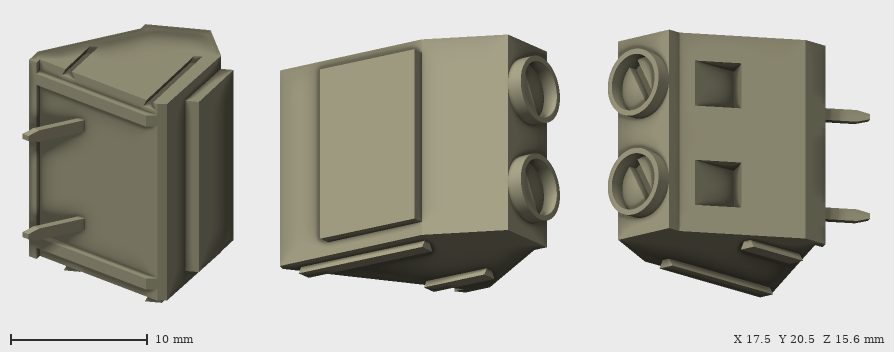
import cadquery as cq
import math


POLES = 2
POLE_PITCH = 7.51
BODY_HEIGHT = POLES * POLE_PITCH
POLE_HEIGHTS = [(i + 0.5) * POLE_PITCH for i in range(POLES)]

LEAN = math.radians(55)
LEAN_COS = math.cos(LEAN)
LEAN_SIN = math.sin(LEAN)

ENTRY_WALL_START = 1.76
ENTRY_WALL_END = 11.22
NECK_LENGTH = 1.13
SCREW_FACE_LENGTH = 5.0
SHOULDER_X = 8.97
SHOULDER_Y = 11.75
FAR_CORNER_X = 16.15
FAR_CORNER_Y = 1.25

COLLAR_DIAMETER = 5.0
COLLAR_BORE = 4.2
COLLAR_HEIGHT = 1.15
SCREW_SLOT_WIDTH = 0.88
SCREW_SLOT_DEPTH = 0.74
SCREW_SLOT_ANGLE = 61

ENTRY_TOP_Y = 10.08
ENTRY_BOTTOM_Y = 6.57
ENTRY_HEIGHT = 3.4

CHANNEL_DEPTH = 0.68
CHANNEL_START_X = 2.11
RAIL_WIDTH = 0.85
RAIL_INSET = 0.86

PIN_X = 6.73
PIN_WIDTH = 0.7
PIN_THICKNESS = 0.88
PIN_LENGTH = 4.55
PIN_TIP_LENGTH = 1.0
PIN_TIP_THICKNESS = 0.4

DOVETAIL_STARTS = [(1.52, 5.79), (8.05, 10.38)]
DOVETAIL_NECK = 0.64
DOVETAIL_BASE = 1.3
DOVETAIL_DEPTH = 0.57
TONGUE_END_Y = 1.37

PLATE_LENGTH = 8.4
PLATE_THICKNESS = 0.95
PLATE_SIDE_INSET = 1.0

OVERLAP = 0.2


def prism(points, bottom, top):
    """Upright prism with the given XY outline."""
    return cq.Workplane("XY", origin=(0, 0, bottom)).polyline(points).close().extrude(top - bottom)


screw_face_start = (-NECK_LENGTH * LEAN_COS, ENTRY_WALL_END + NECK_LENGTH * LEAN_SIN)
screw_face_end = (
    screw_face_start[0] + SCREW_FACE_LENGTH * LEAN_SIN,
    screw_face_start[1] + SCREW_FACE_LENGTH * LEAN_COS,
)


def make_body():
    outline = [
        (0, ENTRY_WALL_START),
        (0, ENTRY_WALL_END),
        screw_face_start,
        screw_face_end,
        (SHOULDER_X, SHOULDER_Y),
        (FAR_CORNER_X, FAR_CORNER_Y),
        (FAR_CORNER_X - FAR_CORNER_Y / math.tan(LEAN), 0),
        (ENTRY_WALL_START / math.tan(LEAN), 0),
    ]
    return prism(outline, 0, BODY_HEIGHT)


def make_plate():
    """Plate lying against the sloping back, just below the shoulder."""
    corners = []
    for distance, offset in [
        (0, -OVERLAP),
        (0, PLATE_THICKNESS),
        (PLATE_LENGTH, PLATE_THICKNESS),
        (PLATE_LENGTH, -OVERLAP),
    ]:
        x = SHOULDER_X + distance * LEAN_COS + offset * LEAN_SIN
        y = SHOULDER_Y - distance * LEAN_SIN + offset * LEAN_COS
        corners.append((x, y))
    return prism(corners, PLATE_SIDE_INSET, BODY_HEIGHT - PLATE_SIDE_INSET)


def screw_plane(height):
    """Plane on the screw face: local X along the face (towards -X), local Y up, normal outward."""
    centre_x = (screw_face_start[0] + screw_face_end[0]) / 2
    centre_y = (screw_face_start[1] + screw_face_end[1]) / 2
    return cq.Plane(
        origin=(centre_x, centre_y, height),
        xDir=(-LEAN_SIN, -LEAN_COS, 0),
        normal=(-LEAN_COS, LEAN_SIN, 0),
    )


def make_collar(height):
    return (
        cq.Workplane(screw_plane(height))
        .circle(COLLAR_DIAMETER / 2)
        .circle(COLLAR_BORE / 2)
        .extrude(COLLAR_HEIGHT)
    )


def make_screw_slot(height):
    """Driver slot across the screw head, ending at the collar bore."""
    plane = screw_plane(height)
    head = cq.Workplane(plane).circle(COLLAR_BORE / 2).extrude(-SCREW_SLOT_DEPTH)
    bar = (
        cq.Workplane(plane)
        .transformed(rotate=(0, 0, -SCREW_SLOT_ANGLE))
        .rect(2 * COLLAR_BORE, SCREW_SLOT_WIDTH)
        .extrude(-SCREW_SLOT_DEPTH)
    )
    return head.intersect(bar)


def make_wire_entry(height):
    """Wedge-shaped recess whose sloping floor deepens towards the mounting face."""
    depth = (ENTRY_TOP_Y - ENTRY_BOTTOM_Y) / math.tan(LEAN)
    outline = [(0, ENTRY_TOP_Y), (depth, ENTRY_BOTTOM_Y), (0, ENTRY_BOTTOM_Y)]
    return prism(outline, height - ENTRY_HEIGHT / 2, height + ENTRY_HEIGHT / 2)


def make_channels():
    """Relief of the mounting face, leaving two rails between three open bands."""
    undercut = CHANNEL_DEPTH / math.tan(LEAN)
    outline = [
        (CHANNEL_START_X, 0),
        (CHANNEL_START_X - undercut, CHANNEL_DEPTH),
        (FAR_CORNER_X, CHANNEL_DEPTH),
        (FAR_CORNER_X, 0),
    ]
    rail_end = RAIL_INSET + RAIL_WIDTH
    bands = [
        (0, RAIL_INSET),
        (rail_end, BODY_HEIGHT - rail_end),
        (BODY_HEIGHT - RAIL_INSET, BODY_HEIGHT),
    ]
    channels = cq.Workplane("XY")
    for bottom, top in bands:
        channels = channels.add(prism(outline, bottom, top))
    return channels.combine()


def make_dovetail(start, end_y, opening_z):
    """Leaning dovetail bar from start down to end_y; its narrow side is at opening_z."""
    length = (start[1] - end_y) / LEAN_SIN
    plane = cq.Plane(
        origin=(start[0], start[1], opening_z),
        xDir=(LEAN_SIN, LEAN_COS, 0),
        normal=(LEAN_COS, -LEAN_SIN, 0),
    )
    section = [
        (-DOVETAIL_NECK / 2, 0),
        (DOVETAIL_NECK / 2, 0),
        (DOVETAIL_BASE / 2, -DOVETAIL_DEPTH),
        (-DOVETAIL_BASE / 2, -DOVETAIL_DEPTH),
    ]
    return cq.Workplane(plane).polyline(section).close().extrude(length)


def make_pin(height):
    """Flat pin from the channel floor, tapering in thickness to its tip."""
    half = PIN_THICKNESS / 2
    half_tip = PIN_TIP_THICKNESS / 2
    taper_start = PIN_TIP_LENGTH - PIN_LENGTH
    root = CHANNEL_DEPTH + OVERLAP
    outline = [
        (root, -half),
        (root, half),
        (taper_start, half),
        (-PIN_LENGTH, half_tip),
        (-PIN_LENGTH, -half_tip),
        (taper_start, -half),
    ]
    return (
        cq.Workplane("YZ", origin=(PIN_X, 0, height))
        .polyline(outline)
        .close()
        .extrude(PIN_WIDTH / 2, both=True)
    )


result = make_body().union(make_plate()).cut(make_channels())
for dovetail_start in DOVETAIL_STARTS:
    result = result.cut(make_dovetail(dovetail_start, 0, BODY_HEIGHT))
    result = result.union(make_dovetail(dovetail_start, TONGUE_END_Y, 0))
for pole_height in POLE_HEIGHTS:
    result = result.cut(make_wire_entry(pole_height))
    result = result.cut(make_screw_slot(pole_height))
    result = result.union(make_collar(pole_height))
    result = result.union(make_pin(pole_height))